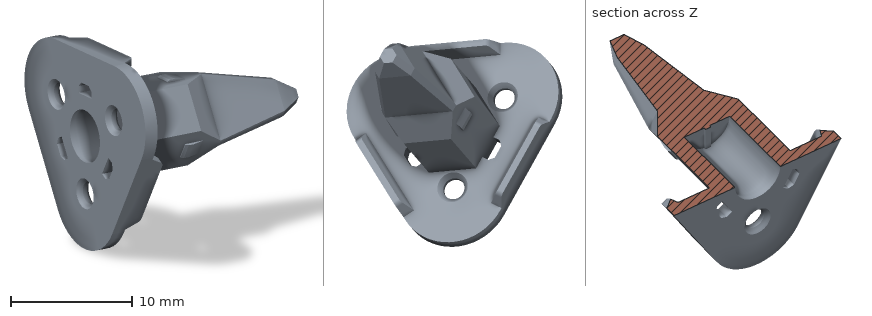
import cadquery as cq
import math

LENGTH = 20.6
OVERLAP = 0.2

PLATE_THICKNESS = 1.2
LOBE_RADIUS = 4.7
LOBE_CIRCLE_RADIUS = 5.05
FLAT_DISTANCE = LOBE_CIRCLE_RADIUS / 2 + LOBE_RADIUS

RIM_TOP = 2.5
RIM_BASE_WIDTH = 8.25
RIM_TOP_WIDTH = 6.72
RIM_BASE_DEPTH = 1.03
RIM_TOP_DEPTH = 0.55
RIM_CORNER_RADIUS = 0.5

SCREW_CIRCLE_RADIUS = 4.96
SCREW_HOLE_RADIUS = 0.9
COUNTERSINK_RADIUS = 1.3

SHAFT_APOTHEM = 3.5
SHAFT_HALF_FACE = SHAFT_APOTHEM / math.sqrt(3)
TIP_APOTHEM = 0.62
TIP_HALF_FACE = TIP_APOTHEM / math.sqrt(3)
SPIKE_SECTIONS = [
    (0.0, SHAFT_APOTHEM, SHAFT_HALF_FACE),
    (8.8, SHAFT_APOTHEM, SHAFT_HALF_FACE),
    (11.29, SHAFT_APOTHEM, 0.29),
    (18.58, 1.75, 0.35),
    (LENGTH, TIP_APOTHEM, TIP_HALF_FACE),
]

BORE_RADIUS = 2.25
BORE_DEPTH = 7.42
ARROW_HEIGHT = 0.2
ARROW_SHAFT_WIDTH = 0.58
ARROW_HEAD_WIDTH = 1.77
ARROW_HEAD_BASE = 0.9
ARROW_HEAD_LENGTH = 1.75

BUMP_WIDTH = 1.52
BUMP_HEIGHT = 0.2
BUMP_BACK_HEIGHT = 0.08
BUMP_BACK = 7.62
BUMP_CREST_START = 7.9
BUMP_CREST_END = 8.38
BUMP_RAMP_END = 9.43
SLOT_WIDTH = 1.9
SLOT_HEIGHT = 0.99
SLOT_CHAMFER = 0.4


def plane_at(y):
    """Workplane across the spike axis at height y, with local axes X and Z."""
    return cq.Workplane("XZ", origin=(0, y, 0))


def three_fold(body):
    """Three copies of a body, 120 degrees apart about the spike axis."""
    copies = body
    for angle in (120, 240):
        copies = copies.union(body.rotate((0, 0, 0), (0, 1, 0), angle))
    return copies


def make_plate():
    half_flat = LOBE_CIRCLE_RADIUS * math.cos(math.radians(30))

    def lobe_point(lobe_angle, edge_angle):
        lobe, edge = math.radians(lobe_angle), math.radians(edge_angle)
        return (
            LOBE_CIRCLE_RADIUS * math.cos(lobe) + LOBE_RADIUS * math.cos(edge),
            LOBE_CIRCLE_RADIUS * math.sin(lobe) + LOBE_RADIUS * math.sin(edge),
        )

    outline = plane_at(0).moveTo(-half_flat, FLAT_DISTANCE)
    for lobe in (30, -90, -210):
        outline = outline.lineTo(*lobe_point(lobe, lobe + 60))
        outline = outline.threePointArc(lobe_point(lobe, lobe), lobe_point(lobe, lobe - 60))
    return outline.close().extrude(-PLATE_THICKNESS)


def make_rim():
    """Rim on the +Z side: sloped rounded ends and an inner face that leans outward."""
    front = (
        cq.Workplane("XY", origin=(0, 0, FLAT_DISTANCE - RIM_BASE_DEPTH))
        .moveTo(-RIM_BASE_WIDTH / 2, PLATE_THICKNESS)
        .lineTo(-RIM_TOP_WIDTH / 2, RIM_TOP)
        .lineTo(RIM_TOP_WIDTH / 2, RIM_TOP)
        .lineTo(RIM_BASE_WIDTH / 2, PLATE_THICKNESS)
        .lineTo(RIM_BASE_WIDTH / 2, PLATE_THICKNESS - OVERLAP)
        .lineTo(-RIM_BASE_WIDTH / 2, PLATE_THICKNESS - OVERLAP)
        .close()
        .extrude(RIM_BASE_DEPTH)
        .edges("|Z and >Y")
        .fillet(RIM_CORNER_RADIUS)
    )
    wedge = (
        cq.Workplane("YZ")
        .moveTo(PLATE_THICKNESS - OVERLAP, FLAT_DISTANCE)
        .lineTo(RIM_TOP, FLAT_DISTANCE)
        .lineTo(RIM_TOP, FLAT_DISTANCE - RIM_TOP_DEPTH)
        .lineTo(PLATE_THICKNESS, FLAT_DISTANCE - RIM_BASE_DEPTH)
        .lineTo(PLATE_THICKNESS - OVERLAP, FLAT_DISTANCE - RIM_BASE_DEPTH)
        .close()
        .extrude(RIM_BASE_WIDTH / 2, both=True)
    )
    return front.intersect(wedge)


def spike_outline(apothem, half_face):
    """Corners of the six-sided section, two for each narrow face."""
    corners = []
    for normal in (90, 210, 330):
        cos_n, sin_n = math.cos(math.radians(normal)), math.sin(math.radians(normal))
        for side in (-half_face, half_face):
            corners.append((apothem * cos_n - side * sin_n, apothem * sin_n + side * cos_n))
    return corners


def make_spike():
    wires = [
        plane_at(y).polyline(spike_outline(apothem, half_face)).close().wire().val()
        for y, apothem, half_face in SPIKE_SECTIONS
    ]
    spike = None
    for lower, upper in zip(wires, wires[1:]):
        stage = cq.Workplane(obj=cq.Solid.makeLoft([lower, upper], True))
        spike = stage if spike is None else spike.union(stage)
    return spike


def make_bump():
    """Snap bump on the +Z narrow face."""
    crest = SHAFT_APOTHEM + BUMP_HEIGHT
    return (
        cq.Workplane("YZ")
        .moveTo(BUMP_BACK, SHAFT_APOTHEM - OVERLAP)
        .lineTo(BUMP_BACK, SHAFT_APOTHEM + BUMP_BACK_HEIGHT)
        .lineTo(BUMP_CREST_START, crest)
        .lineTo(BUMP_CREST_END, crest)
        .lineTo(BUMP_RAMP_END, SHAFT_APOTHEM)
        .lineTo(BUMP_RAMP_END, SHAFT_APOTHEM - OVERLAP)
        .close()
        .extrude(BUMP_WIDTH / 2, both=True)
    )


def make_slot():
    """Slot through the plate, resting on the +Z shaft face, outer corners chamfered."""
    return (
        plane_at(0)
        .center(0, SHAFT_APOTHEM + SLOT_HEIGHT / 2)
        .rect(SLOT_WIDTH, SLOT_HEIGHT)
        .extrude(-PLATE_THICKNESS)
        .edges("|Y and >Z")
        .chamfer(SLOT_CHAMFER)
    )


def make_screw_hole():
    """Through hole on the -Z lobe with a 90 degree countersink on both plate faces."""
    sink_depth = COUNTERSINK_RADIUS - SCREW_HOLE_RADIUS
    return (
        cq.Workplane("XY", origin=(0, 0, -SCREW_CIRCLE_RADIUS))
        .lineTo(COUNTERSINK_RADIUS, 0)
        .lineTo(SCREW_HOLE_RADIUS, sink_depth)
        .lineTo(SCREW_HOLE_RADIUS, PLATE_THICKNESS - sink_depth)
        .lineTo(COUNTERSINK_RADIUS, PLATE_THICKNESS)
        .lineTo(0, PLATE_THICKNESS)
        .close()
        .revolve(360, (0, 0, 0), (0, 1, 0))
    )


def make_bore():
    """Bore volume, less the arrow left standing on the floor and pointing to +Z."""
    bore = plane_at(0).circle(BORE_RADIUS).extrude(-BORE_DEPTH)
    half_shaft = ARROW_SHAFT_WIDTH / 2
    half_head = ARROW_HEAD_WIDTH / 2
    right_side = [
        (half_shaft, -BORE_RADIUS),
        (half_shaft, ARROW_HEAD_BASE),
        (half_head, ARROW_HEAD_BASE),
    ]
    tip = (0, ARROW_HEAD_BASE + ARROW_HEAD_LENGTH)
    left_side = [(-x, z) for x, z in reversed(right_side)]
    arrow = (
        plane_at(BORE_DEPTH - ARROW_HEIGHT)
        .polyline(right_side + [tip] + left_side)
        .close()
        .extrude(-ARROW_HEIGHT)
    )
    return bore.cut(arrow)


result = (
    make_plate()
    .union(three_fold(make_rim()))
    .union(make_spike())
    .union(three_fold(make_bump()))
    .cut(three_fold(make_slot()))
    .cut(three_fold(make_screw_hole()))
    .cut(make_bore())
)